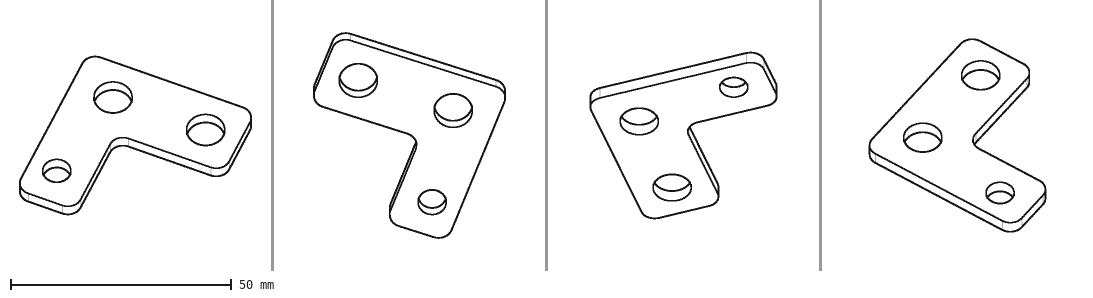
import cadquery as cq

side = 41.4
thickness = 3.175
corner_radius = 3.175

arm_width = 18.29
leg_width = 14.75

large_hole_diameter = 8.64
large_hole_inset = 10.16
large_hole_spacing = 22.86
large_hole_y = side - arm_width / 2

small_hole_diameter = 6.35
small_hole_x = 6.6
small_hole_y = 8.38


def make_plate():
    """L-shaped plate with its outer and inner corners rounded."""
    outline = [
        (0, 0),
        (leg_width, 0),
        (leg_width, side - arm_width),
        (side, side - arm_width),
        (side, side),
        (0, side),
    ]
    plate = cq.Workplane("XY").polyline(outline).close().extrude(thickness)
    return plate.edges("|Z").fillet(corner_radius)


def make_holes(diameter, centers):
    """Cylinders through the full plate thickness."""
    return cq.Workplane("XY").pushPoints(centers).circle(diameter / 2).extrude(thickness)


large_hole_centers = [
    (large_hole_inset, large_hole_y),
    (large_hole_inset + large_hole_spacing, large_hole_y),
]
small_hole_centers = [(small_hole_x, small_hole_y)]

result = (
    make_plate()
    .cut(make_holes(large_hole_diameter, large_hole_centers))
    .cut(make_holes(small_hole_diameter, small_hole_centers))
)